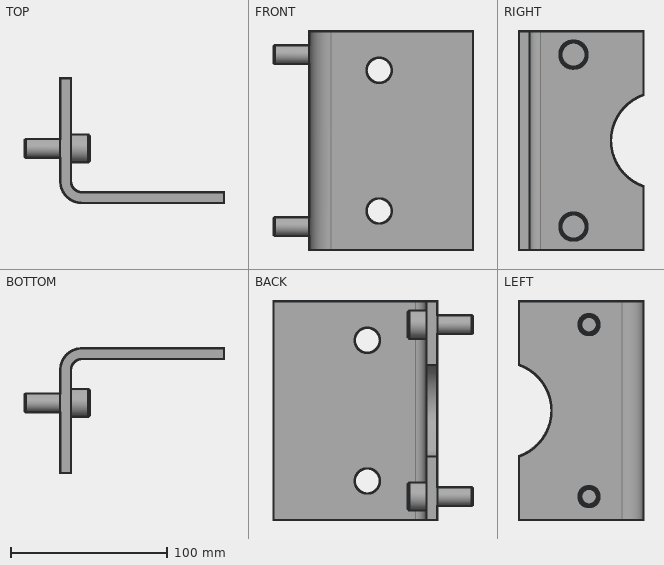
import cadquery as cq

height = 140.0
base_length = 105.0
flange_length = 80.0
thickness = 7.0
inner_bend_radius = 7.0
outer_bend_radius = inner_bend_radius + thickness

mount_hole_diameter = 16.0
mount_hole_x = 44.8
mount_hole_spacing = 90.0

notch_radius = 31.0
notch_center_y = 90.0

screw_hole_diameter = 13.5
screw_y = 35.0
screw_spacing = 110.0
shank_diameter = 12.0
shank_length = 30.0
head_diameter = 18.0
head_length = 12.0
tip_chamfer = 1.0
head_chamfer = 1.3

mid_z = height / 2
mount_hole_heights = [mid_z - mount_hole_spacing / 2, mid_z + mount_hole_spacing / 2]
screw_heights = [mid_z - screw_spacing / 2, mid_z + screw_spacing / 2]


def make_bent_plate():
    """L-shaped sheet with a rounded bend, extruded along Z."""
    plate = (
        cq.Workplane("XY")
        .polyline([
            (0, 0),
            (base_length, 0),
            (base_length, thickness),
            (thickness, thickness),
            (thickness, flange_length),
            (0, flange_length),
        ])
        .close()
        .extrude(height)
    )
    plate = plate.edges(cq.selectors.NearestToPointSelector((0, 0, mid_z))).fillet(outer_bend_radius)
    inner_corner = (thickness, thickness, mid_z)
    return plate.edges(cq.selectors.NearestToPointSelector(inner_corner)).fillet(inner_bend_radius)


def flange_cutter(radius, y, z):
    """Cylinder along X that spans the flange thickness."""
    return cq.Workplane("YZ").center(y, z).circle(radius).extrude(thickness)


def make_bracket():
    """Bent plate with its mounting holes, screw holes and edge notch."""
    bracket = make_bent_plate()
    for z in mount_hole_heights:
        hole = (
            cq.Workplane("XZ")
            .center(mount_hole_x, z)
            .circle(mount_hole_diameter / 2)
            .extrude(-thickness)
        )
        bracket = bracket.cut(hole)
    for z in screw_heights:
        bracket = bracket.cut(flange_cutter(screw_hole_diameter / 2, screw_y, z))
    return bracket.cut(flange_cutter(notch_radius, notch_center_y, mid_z))


def make_screw(z):
    """Cap screw pointing to -X, its head seated on the inner flange face."""
    seat = cq.Workplane("YZ", origin=(thickness, screw_y, z))
    shank = seat.circle(shank_diameter / 2).extrude(-shank_length).faces("<X").chamfer(tip_chamfer)
    head = seat.circle(head_diameter / 2).extrude(head_length).faces(">X").chamfer(head_chamfer)
    return head.union(shank)


bracket = make_bracket()
screws = [make_screw(z) for z in screw_heights]

result = cq.Compound.makeCompound([bracket.val(), *[screw.val() for screw in screws]])